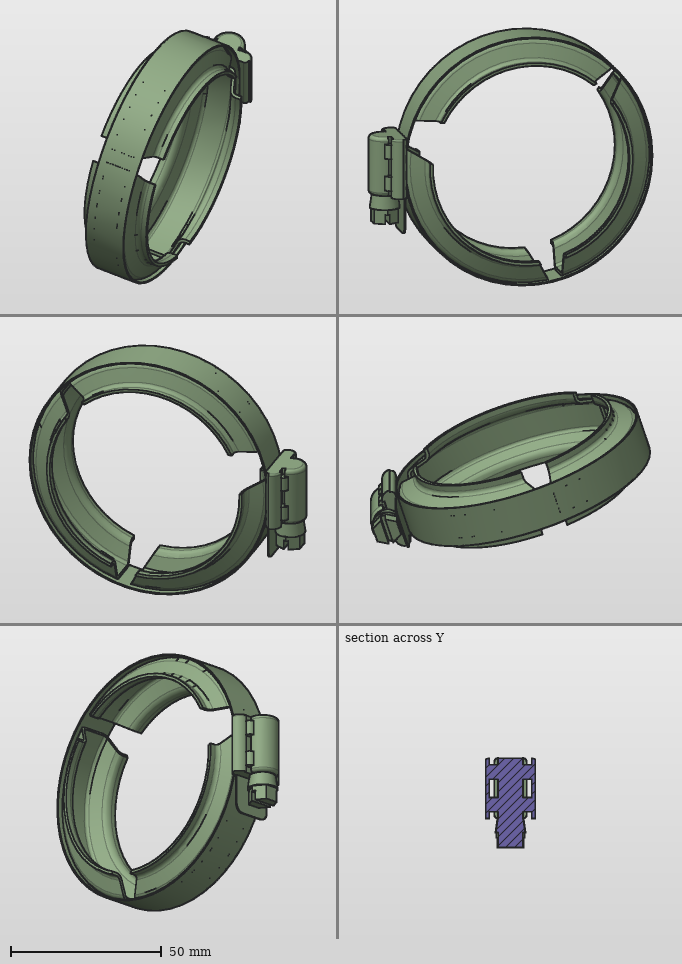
import cadquery as cq
import math

OVERALL_LENGTH = 95.0

BAND_OUTER_D = 84.5
BAND_OUTER_R = BAND_OUTER_D / 2
BAND_THICKNESS = 0.5
BAND_INNER_R = BAND_OUTER_R - BAND_THICKNESS
BAND_WIDTH = 14.0

SHEET = 1.0
SEGMENT_WIDTH = 23.1
FLANGE_OUTER_R = 34.5
FLANGE_START_X = 9.6
WALL_TILT = 20.0
LOWER_BEND_R = 1.7
UPPER_BEND_R = 2.4

GAP_CUTS = [(15, 15.5, 15.5), (135, 11.8, 14.35), (255, 11.8, 14.35)]
GAP_TILT = 15.0
CUT_MARGIN = 1.9
GAP_INNER_R = FLANGE_OUTER_R - SHEET - CUT_MARGIN
GAP_OUTER_R = BAND_INNER_R + CUT_MARGIN

HOUSING_LENGTH = 20.1
HOUSING_BASE_Y = 41.8
LEDGE_Y = 43.2
RECESS_Y = 46.1
WING_TOP_Y = 46.75
DOME_LIP_Y = 47.2
HOUSING_TOP_Y = OVERALL_LENGTH - BAND_OUTER_R
BASE_HALF_WIDTH = 9.6
BASE_CORNER_R = 1.3
WING_HALF_WIDTH = 10.3
WING_CORNER_R = 3.4
WING_END_FILLET = 0.6
DOME_R = 5.4
DOME_END_FILLET = 1.3
NECK_HALF_WIDTH = 4.2
RECESS_HALF_WIDTH = 7.0

TAB_TOP_Y = 48.6
TAB_LENGTH = 4.8
TAB_CENTRE_Z = 5.4
TAB_CORNER_R = 1.8

SCREW_Y = HOUSING_TOP_Y - DOME_R
COLLAR_TOP_R = 4.4
COLLAR_BOTTOM_R = 5.0
COLLAR_HEIGHT = 4.7
HEX_FLATS = 8.3
HEX_HEIGHT = 4.9
SLOT_WIDTH = 1.5
SLOT_DEPTH = 3.2

TAIL_BOTTOM_Z = -22.9
TAIL_CORNER_R = 2.7


def polar(centre, radius, degrees):
    angle = math.radians(degrees)
    return (centre[0] + radius * math.cos(angle), centre[1] + radius * math.sin(angle))


def make_band():
    hoop = cq.Workplane("YZ").circle(BAND_OUTER_R).circle(BAND_INNER_R)
    return hoop.extrude(BAND_WIDTH / 2, both=True)


def make_segment_ring():
    """Full hat-section ring; the profile is (x, radius), half of it mirrored."""
    tilt = math.radians(WALL_TILT)
    lower = (FLANGE_START_X, FLANGE_OUTER_R + LOWER_BEND_R)
    upper_r = BAND_INNER_R - UPPER_BEND_R
    rise = upper_r - lower[1]
    run = (LOWER_BEND_R + UPPER_BEND_R + rise * math.sin(tilt)) / math.cos(tilt)
    upper = (lower[0] - run, upper_r)

    lower_mid = 225 + WALL_TILT / 2
    lower_end = 180 + WALL_TILT
    upper_mid = 45 + WALL_TILT / 2
    lower_back_r = LOWER_BEND_R + SHEET
    upper_back_r = UPPER_BEND_R - SHEET
    half = (
        cq.Workplane("XY")
        .moveTo(0, BAND_INNER_R)
        .lineTo(*polar(upper, UPPER_BEND_R, 90))
        .threePointArc(polar(upper, UPPER_BEND_R, upper_mid), polar(upper, UPPER_BEND_R, WALL_TILT))
        .lineTo(*polar(lower, LOWER_BEND_R, lower_end))
        .threePointArc(polar(lower, LOWER_BEND_R, lower_mid), polar(lower, LOWER_BEND_R, 270))
        .lineTo(SEGMENT_WIDTH / 2, FLANGE_OUTER_R)
        .lineTo(SEGMENT_WIDTH / 2, FLANGE_OUTER_R - SHEET)
        .lineTo(*polar(lower, lower_back_r, 270))
        .threePointArc(polar(lower, lower_back_r, lower_mid), polar(lower, lower_back_r, lower_end))
        .lineTo(*polar(upper, upper_back_r, WALL_TILT))
        .threePointArc(polar(upper, upper_back_r, upper_mid), polar(upper, upper_back_r, 90))
        .lineTo(0, BAND_INNER_R - SHEET)
        .close()
        .revolve(360, (0, 0), (1, 0))
    )
    return half.mirror("YZ", union=True)


def make_gap(angle, clockwise_distance, counter_distance):
    """Wedge that widens towards the ring axis."""
    tilt = math.radians(GAP_TILT)

    def half_gap(radius, distance):
        return (distance - radius * math.sin(tilt)) / math.cos(tilt)

    corners = [
        (GAP_INNER_R, -half_gap(GAP_INNER_R, clockwise_distance)),
        (GAP_OUTER_R, -half_gap(GAP_OUTER_R, clockwise_distance)),
        (GAP_OUTER_R, half_gap(GAP_OUTER_R, counter_distance)),
        (GAP_INNER_R, half_gap(GAP_INNER_R, counter_distance)),
    ]
    wedge = cq.Workplane("YZ").polyline(corners).close().extrude(SEGMENT_WIDTH, both=True)
    return wedge.rotate((0, 0, 0), (1, 0, 0), angle)


def make_segments():
    ring = make_segment_ring()
    for angle, clockwise_distance, counter_distance in GAP_CUTS:
        ring = ring.cut(make_gap(angle, clockwise_distance, counter_distance))
    return ring


def block(half_width, bottom_y, top_y, length=HOUSING_LENGTH):
    """Box centred on X and Z, spanning the given Y range; length runs along Z."""
    return cq.Workplane("XY").box(2 * half_width, top_y - bottom_y, length).translate(
        (0, (bottom_y + top_y) / 2, 0)
    )


def make_housing():
    base = block(BASE_HALF_WIDTH, HOUSING_BASE_Y, LEDGE_Y).edges("|Z and <Y").fillet(BASE_CORNER_R)
    wings = block(WING_HALF_WIDTH, LEDGE_Y, WING_TOP_Y).edges("|Z and >Y").fillet(WING_CORNER_R)
    wings = wings.faces(">Z").edges("not <Y").fillet(WING_END_FILLET)
    recess = block(RECESS_HALF_WIDTH, RECESS_Y, DOME_LIP_Y)
    neck = block(NECK_HALF_WIDTH, RECESS_Y, DOME_LIP_Y)
    dome = (
        cq.Workplane("XY", origin=(0, 0, -HOUSING_LENGTH / 2))
        .moveTo(-DOME_R, DOME_LIP_Y)
        .lineTo(-DOME_R, SCREW_Y)
        .threePointArc((0, HOUSING_TOP_Y), (DOME_R, SCREW_Y))
        .lineTo(DOME_R, DOME_LIP_Y)
        .close()
        .extrude(HOUSING_LENGTH)
    )
    dome = dome.faces("<Z or >Z").edges("not <Y").fillet(DOME_END_FILLET)
    return base.union(wings).cut(recess).union(neck).union(dome)


def make_tabs():
    tab = block(RECESS_HALF_WIDTH, RECESS_Y, TAB_TOP_Y, TAB_LENGTH)
    tab = tab.edges("|Z and >Y").fillet(TAB_CORNER_R)
    upper = tab.translate((0, 0, TAB_CENTRE_Z))
    lower = tab.translate((0, 0, -TAB_CENTRE_Z))
    return upper.union(lower)


def make_screw():
    top_z = -HOUSING_LENGTH / 2
    collar_bottom_z = top_z - COLLAR_HEIGHT
    head_bottom_z = collar_bottom_z - HEX_HEIGHT
    collar = (
        cq.Workplane("XY", origin=(0, SCREW_Y, top_z))
        .circle(COLLAR_TOP_R)
        .workplane(offset=-COLLAR_HEIGHT)
        .circle(COLLAR_BOTTOM_R)
        .loft()
    )
    across_corners = HEX_FLATS / math.cos(math.radians(30))
    head = (
        cq.Workplane("XY", origin=(0, SCREW_Y, head_bottom_z))
        .polygon(6, across_corners)
        .extrude(HEX_HEIGHT)
    )
    slot = (
        cq.Workplane("XY", origin=(0, SCREW_Y, head_bottom_z))
        .rect(2 * across_corners, SLOT_WIDTH)
        .extrude(SLOT_DEPTH)
    )
    return collar.union(head.cut(slot))


def make_tail():
    tail_length = -TAIL_BOTTOM_Z
    tail = block(BAND_WIDTH / 2, HOUSING_BASE_Y, HOUSING_BASE_Y + BAND_THICKNESS, tail_length)
    tail = tail.edges("|Y and <Z").fillet(TAIL_CORNER_R)
    return tail.translate((0, 0, -tail_length / 2))


result = (
    make_band()
    .union(make_segments())
    .union(make_housing())
    .union(make_tabs())
    .union(make_screw())
    .union(make_tail())
)